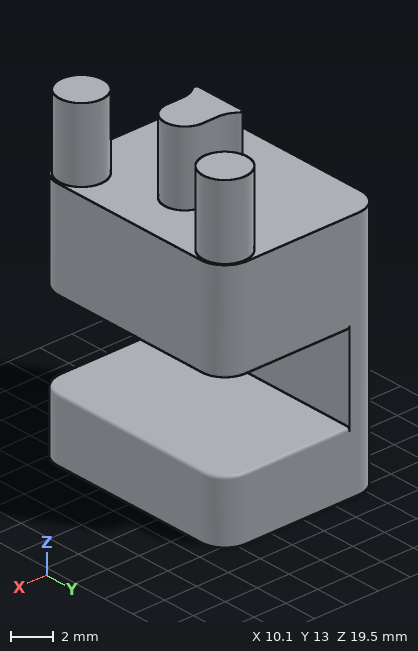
import cadquery as cq
import math

body_length = 10.05
body_width = 13.0
total_height = 19.5
pin_height = 4.47
body_height = total_height - pin_height
corner_radius = 1.5

back_wall = 2.07
slot_floor = 3.8
slot_roof = 8.99
slot_edge_radius = 0.2

pin_diameter = 2.75
pin_x = body_length / 2 - corner_radius
pin_y = body_width / 2 - corner_radius

key_back_offset = 4.3
key_length = 3.5
nose_radius = 1.25
straight_length = 0.95
flare_radius = 1.5
tip_radius = 0.2


def make_body():
    return (
        cq.Workplane("XY")
        .rect(body_length, body_width)
        .extrude(body_height)
        .edges("|Z")
        .fillet(corner_radius)
    )


def cut_slot(body):
    """Cut the slot and round the outer edges of its floor and roof."""
    slot_back = back_wall - body_length / 2
    slot = (
        cq.Workplane("XY", origin=(slot_back, 0, slot_floor))
        .box(body_length, body_width, slot_roof - slot_floor, centered=(False, True, False))
    )
    slotted = body.cut(slot)
    for level in (slot_floor, slot_roof):
        outer_edges = slotted.faces(cq.selectors.BoxSelector(
            (slot_back, -body_width, level - slot_edge_radius / 2),
            (body_length, body_width, level + slot_edge_radius / 2),
        )).edges("not(<X)")
        slotted = outer_edges.fillet(slot_edge_radius)
    return slotted


def make_pins():
    return (
        cq.Workplane("XY", origin=(0, 0, body_height))
        .pushPoints([(pin_x, -pin_y), (pin_x, pin_y)])
        .circle(pin_diameter / 2)
        .extrude(pin_height)
    )


def make_key():
    """Bell outline; each tail tip is tangent to the back face and to its concave flare."""
    back = key_back_offset - body_length / 2
    nose_end = back + key_length
    nose_center = nose_end - nose_radius
    flare_x = nose_center - straight_length
    flare_y = nose_radius + flare_radius

    tip_x = back + tip_radius
    center_distance = flare_radius + tip_radius
    tip_angle = math.acos((flare_x - tip_x) / center_distance)
    tip_y = flare_y - center_distance * math.sin(tip_angle)

    def on_tip(angle):
        return tip_x + tip_radius * math.cos(angle), tip_y + tip_radius * math.sin(angle)

    def on_flare(angle):
        return flare_x - flare_radius * math.cos(angle), flare_y - flare_radius * math.sin(angle)

    def mirrored(point):
        return point[0], -point[1]

    tip_start = (back, tip_y)
    tip_middle = on_tip((tip_angle + math.pi) / 2)
    tip_end = on_tip(tip_angle)
    flare_middle = on_flare((tip_angle + math.pi / 2) / 2)
    flare_end = (flare_x, nose_radius)
    nose_start = (nose_center, nose_radius)

    return (
        cq.Workplane("XY", origin=(0, 0, body_height))
        .moveTo(*tip_start)
        .threePointArc(tip_middle, tip_end)
        .threePointArc(flare_middle, flare_end)
        .lineTo(*nose_start)
        .threePointArc((nose_end, 0), mirrored(nose_start))
        .lineTo(*mirrored(flare_end))
        .threePointArc(mirrored(flare_middle), mirrored(tip_end))
        .threePointArc(mirrored(tip_middle), mirrored(tip_start))
        .close()
        .extrude(pin_height)
    )


result = cut_slot(make_body()).union(make_pins()).union(make_key())